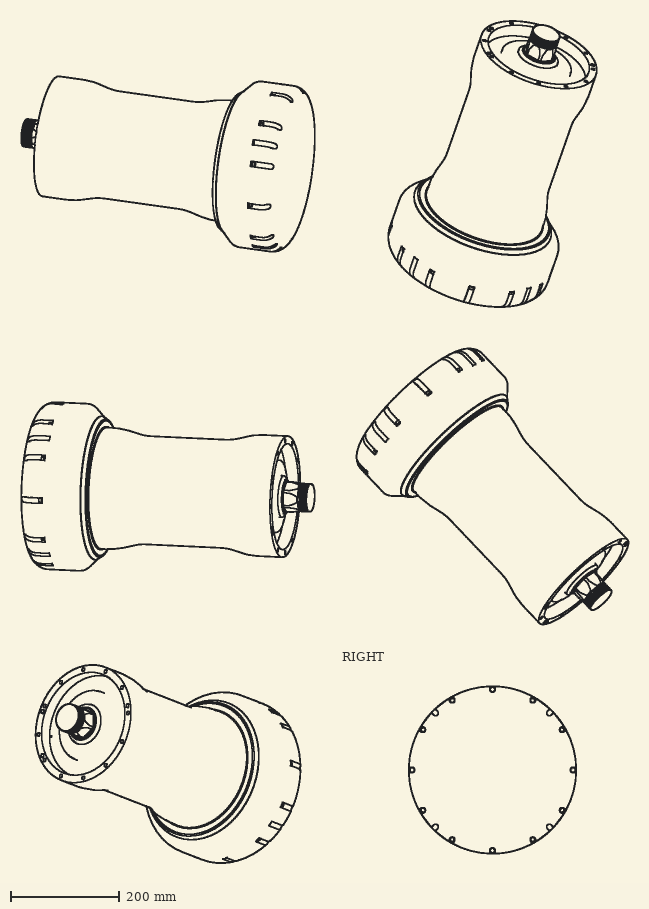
import cadquery as cq
import math

total_length = 520.5

barrel_front = 50.5
flare_radius = 225.0 / 2
waist_radius = 201.0 / 2
flare_angle = math.radians(15)
flare_arc_radius = 100.5
front_flare_start = 98.0
rear_flare_end = 382.0

recess_radius = 195.0 / 2
recess_floor = 74.0
recess_chamfer_depth = 0.5
recess_chamfer_length = 2.0
boss_radius = 134.5 / 2
boss_fillet = 3.0
boss_top = 62.5
hub_radius = 77.0 / 2
hub_fillet = 3.5
hub_shoulder = 54.5
neck_base_radius = 68.0 / 2
neck_radius = 63.0 / 2
neck_top = 47.5
neck_chamfer = 2.0

nose_radius = 26.0
nose_fillet = 2.5
groove_radius = 51.0 / 2
groove_width = 1.0
groove_pitch = 1.5
groove_rows = [(3.0, 4), (12.0, 3), (19.0, 1)]
gap_start = 9.5
gap_width = 2.0
gap_radius = 24.5
hex_start = 21.5
hex_apothem = groove_radius
hex_front_radius = 26.0
hex_corner_radius = 28.0
hex_cone_length = 15.0

bell_radius = 310.0 / 2
bell_front = 398.5
bell_face_radius = 125.0
lip_start_radius = 128.0
lip_start = 399.5
lip_end_radius = 266.0 / 2
lip_end = 407.0
lip_land = 1.0
collar_radius = 114.0
collar_length = 1.5
cone_angle = math.radians(45)
cone_fillet = 14.5
rear_fillet = 24.5

hole_circle_radius = 105.0
screw_hole_diameter = 6.0
screw_hole_count = 12
dowel_hole_diameter = 7.0
dowel_hole_angles = [8, 156, 204]
rim_hole_depth = 10.5
vent_diameter = 3.0
vent_radius = 94.0
vent_depth = 5.0

slot_diameter = 10.0
slot_axis_radius = 149.0
slot_start = 475.0
long_slot_start = 472.0
pin_diameter = 8.5
pin_start = 477.0
pin_length = 4.5
pin_neck_diameter = 5.0
slot_pitch = 30
long_slot_angles = [45, 135, 225, 315]


def revolve_about_x(outline):
    """Close an outline of X against radius and turn it into a solid."""
    return outline.close().revolve(360, (0, 0, 0), (1, 0, 0))


def cylinder_along_x(diameter, start, length, y=0.0, z=0.0):
    """Cylinder parallel to X, centred on (y, z), running towards +X."""
    return cq.Workplane("YZ", origin=(start, y, z)).circle(diameter / 2).extrude(length)


def around_x(radius, angle):
    """Y and Z of a point at the given radius, with the angle in degrees from -Y towards +Z."""
    turn = math.radians(angle)
    return -radius * math.cos(turn), radius * math.sin(turn)


def make_barrel():
    """Cylinder narrowed to a waist; each flare is an arc, a straight slope and an opposite arc."""
    arc_length = flare_arc_radius * math.sin(flare_angle)
    arc_drop = flare_arc_radius * (1 - math.cos(flare_angle))
    slope_length = (flare_radius - waist_radius - 2 * arc_drop) / math.tan(flare_angle)
    flare_length = 2 * arc_length + slope_length
    waist_start = front_flare_start + flare_length
    waist_end = rear_flare_end - flare_length
    outline = (
        cq.Workplane("XY")
        .moveTo(barrel_front, 0)
        .lineTo(barrel_front, flare_radius)
        .lineTo(front_flare_start, flare_radius)
        .radiusArc((front_flare_start + arc_length, flare_radius - arc_drop), flare_arc_radius)
        .lineTo(waist_start - arc_length, waist_radius + arc_drop)
        .radiusArc((waist_start, waist_radius), -flare_arc_radius)
        .lineTo(waist_end, waist_radius)
        .radiusArc((waist_end + arc_length, waist_radius + arc_drop), -flare_arc_radius)
        .lineTo(rear_flare_end - arc_length, flare_radius - arc_drop)
        .radiusArc((rear_flare_end, flare_radius), flare_arc_radius)
        .lineTo(lip_end, flare_radius)
        .lineTo(lip_end, 0)
    )
    return revolve_about_x(outline)


def make_recess():
    """Annular space between the rim of the barrel and the boss and hub."""
    outline = (
        cq.Workplane("XY")
        .moveTo(barrel_front, 0)
        .lineTo(barrel_front, recess_radius + recess_chamfer_depth)
        .lineTo(barrel_front + recess_chamfer_length, recess_radius)
        .lineTo(recess_floor, recess_radius)
        .lineTo(recess_floor, boss_radius + boss_fillet)
        .radiusArc((recess_floor - boss_fillet, boss_radius), boss_fillet)
        .lineTo(boss_top + boss_fillet, boss_radius)
        .radiusArc((boss_top, boss_radius - boss_fillet), -boss_fillet)
        .lineTo(boss_top, hub_radius + hub_fillet)
        .radiusArc((boss_top - hub_fillet, hub_radius), hub_fillet)
        .lineTo(hub_shoulder, hub_radius)
        .lineTo(hub_shoulder, 0)
    )
    return revolve_about_x(outline)


def make_neck():
    """Chamfered round neck between the hexagon and the hub, filleted into the hub."""
    neck_fillet = neck_base_radius - neck_radius
    outline = (
        cq.Workplane("XY")
        .moveTo(neck_top, 0)
        .lineTo(neck_top, neck_radius - neck_chamfer)
        .lineTo(neck_top + neck_chamfer, neck_radius)
        .lineTo(hub_shoulder - neck_fillet, neck_radius)
        .radiusArc((hub_shoulder, neck_base_radius), -neck_fillet)
        .lineTo(hub_shoulder, 0)
    )
    return revolve_about_x(outline)


def make_nose():
    """Rounded tip and rows of fine V grooves, with a plain gap between the first two rows."""
    outline = (
        cq.Workplane("XY")
        .lineTo(0, nose_radius - nose_fillet)
        .radiusArc((nose_fillet, nose_radius), nose_fillet)
    )
    for row_start, count in groove_rows:
        for index in range(count):
            start = row_start + index * groove_pitch
            outline = (
                outline.lineTo(start, nose_radius)
                .lineTo(start + groove_width / 2, groove_radius)
                .lineTo(start + groove_width, nose_radius)
            )
    outline = outline.lineTo(hex_start, nose_radius).lineTo(hex_start, 0)
    gap_ring = cylinder_along_x(2 * hex_corner_radius, gap_start, gap_width)
    gap_ring = gap_ring.cut(cylinder_along_x(2 * gap_radius, gap_start, gap_width))
    return revolve_about_x(outline).cut(gap_ring)


def make_hex_grip():
    """Hexagon with two flats facing -Y and +Y and its corners turned down to a cone and a cylinder."""
    across_corners = 2 * hex_apothem / math.cos(math.pi / 6)
    hexagon = (
        cq.Workplane("YZ", origin=(hex_start, 0, 0))
        .polygon(6, across_corners)
        .extrude(neck_top - hex_start)
        .rotate((0, 0, 0), (1, 0, 0), 30)
    )
    turned = revolve_about_x(
        cq.Workplane("XY")
        .moveTo(hex_start, 0)
        .lineTo(hex_start, hex_front_radius)
        .lineTo(hex_start + hex_cone_length, hex_corner_radius)
        .lineTo(neck_top, hex_corner_radius)
        .lineTo(neck_top, 0)
    )
    return hexagon.intersect(turned)


def make_bell():
    """Collar, lip, cone, cylinder and rounded rear edge."""
    cone_start = lip_end + lip_land
    cone_end_radius = bell_radius - cone_fillet * (1 - math.cos(cone_angle))
    cone_end = cone_start + (cone_end_radius - lip_end_radius) / math.tan(cone_angle)
    fillet_end = cone_end + cone_fillet * math.sin(cone_angle)
    rear_start = total_length - rear_fillet
    outline = (
        cq.Workplane("XY")
        .moveTo(bell_front - collar_length, 0)
        .lineTo(bell_front - collar_length, collar_radius)
        .lineTo(bell_front, collar_radius)
        .lineTo(bell_front, bell_face_radius)
        .lineTo(lip_start, lip_start_radius)
        .lineTo(lip_end, lip_end_radius)
        .lineTo(cone_start, lip_end_radius)
        .lineTo(cone_end, cone_end_radius)
        .radiusArc((fillet_end, bell_radius), cone_fillet)
        .lineTo(rear_start, bell_radius)
        .radiusArc((total_length, bell_radius - rear_fillet), rear_fillet)
        .lineTo(total_length, 0)
    )
    return revolve_about_x(outline)


def make_slot(start, angle):
    """Slot open to the outside of the bell, with a half-round floor parallel to X."""
    length = total_length - start
    channel = cylinder_along_x(slot_diameter, start, length, y=-slot_axis_radius)
    opening_depth = bell_radius - slot_axis_radius + slot_diameter
    opening = cq.Workplane("XY").box(length, opening_depth, slot_diameter, centered=(False, False, True))
    opening = opening.translate((start, -slot_axis_radius - opening_depth, 0))
    return channel.union(opening).rotate((0, 0, 0), (1, 0, 0), -angle)


body = make_barrel().cut(make_recess())
body = body.union(make_neck()).union(make_bell())
body = body.union(make_hex_grip()).union(make_nose())

for index in range(screw_hole_count):
    y, z = around_x(hole_circle_radius, index * 360 / screw_hole_count)
    body = body.cut(cylinder_along_x(screw_hole_diameter, barrel_front, rim_hole_depth, y, z))
for angle in dowel_hole_angles:
    y, z = around_x(hole_circle_radius, angle)
    body = body.cut(cylinder_along_x(dowel_hole_diameter, barrel_front, rim_hole_depth, y, z))
body = body.cut(cylinder_along_x(vent_diameter, recess_floor, vent_depth, vent_radius, 0))

for angle in range(0, 360, slot_pitch):
    body = body.cut(make_slot(slot_start, angle))
    y, z = around_x(slot_axis_radius, angle)
    body = body.union(cylinder_along_x(pin_neck_diameter, slot_start, pin_start - slot_start, y, z))
    body = body.union(cylinder_along_x(pin_diameter, pin_start, pin_length, y, z))
for angle in long_slot_angles:
    body = body.cut(make_slot(long_slot_start, angle))

result = body